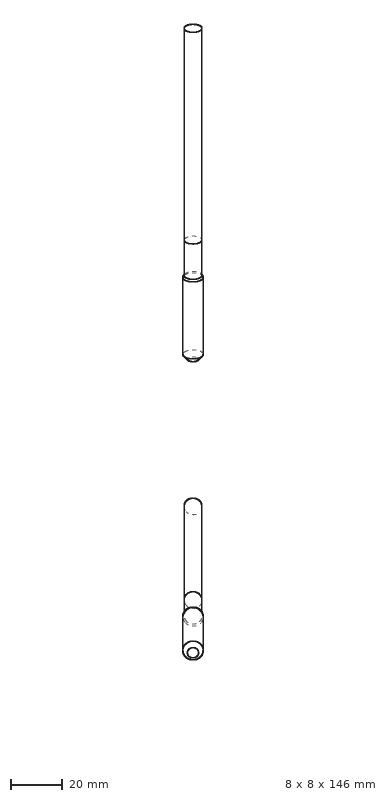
import cadquery as cq

overall_length = 146.0
shank_diameter = 8.0
rod_diameter = 7.0
shank_end_diameter = 4.4
end_chamfer_height = 2.2
shoulder_height = 35.9
shoulder_taper_height = 0.9
joint_height = 52.3
point_height = 1.0

shank_radius = shank_diameter / 2
rod_radius = rod_diameter / 2
shank_end_radius = shank_end_diameter / 2
neck_base_height = shoulder_height + shoulder_taper_height
point_base_height = overall_length - point_height


def turn(profile):
    """Revolve a (radius, height) profile about Z."""
    return cq.Workplane("XZ").polyline(profile).close().revolve(360, (0, 0, 0), (0, 1, 0))


def make_shank():
    """Chamfered shank with a tapered shoulder and a neck as wide as the rod."""
    return turn([
        (0, 0),
        (shank_end_radius, 0),
        (shank_radius, end_chamfer_height),
        (shank_radius, shoulder_height),
        (rod_radius, neck_base_height),
        (rod_radius, joint_height),
        (0, joint_height),
    ])


def make_cutting_rod():
    """Straight rod standing on the neck and ending in a shallow conical point."""
    return turn([
        (0, joint_height),
        (rod_radius, joint_height),
        (rod_radius, point_base_height),
        (0, overall_length),
    ])


shank = make_shank()
cutting_rod = make_cutting_rod()

result = cq.Compound.makeCompound([shank.val(), cutting_rod.val()])